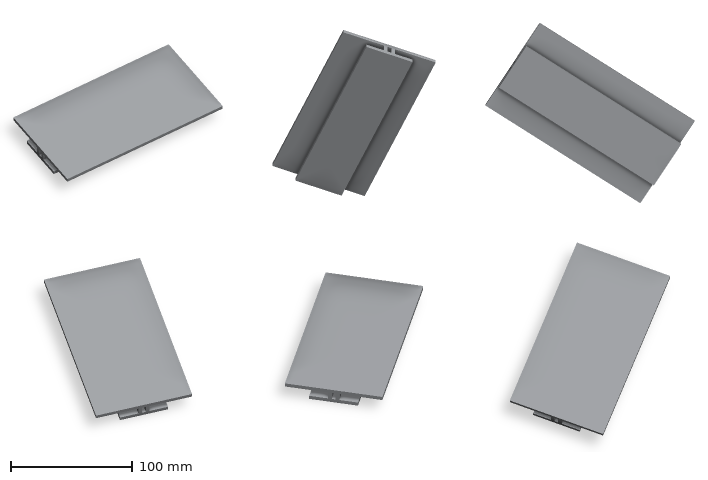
import cadquery as cq

length = 152.4
top_width = 82.6
height = 12.6

bottom_width = top_width / 2
wall = 3.2
web_gap = 3.2

web_height = height - 2 * wall
web_offset = (web_gap + wall) / 2


def bar(width, thickness, x, z):
    """Full-length bar centred at x, with its underside at z."""
    return (
        cq.Workplane("XY")
        .box(width, length, thickness, centered=(True, True, False))
        .translate((x, 0, z))
    )


result = bar(top_width, wall, 0, height - wall)
result = result.union(bar(bottom_width, wall, 0, 0))

for side in (-1, 1):
    result = result.union(bar(wall, web_height, side * web_offset, wall))